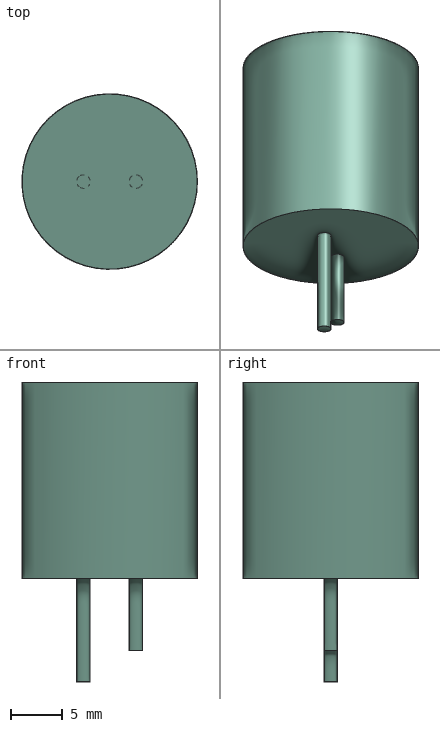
import cadquery as cq

total_height = 29.0
can_diameter = 17.0
long_pin_length = 10.0
short_pin_length = 7.0
pin_diameter = 1.3
pin_spacing = 5.08

can_height = total_height - long_pin_length

pins_layout = [
    (-pin_spacing / 2, long_pin_length),
    (pin_spacing / 2, short_pin_length),
]


def make_can():
    """Plain cylindrical can standing on Z = 0."""
    return cq.Workplane("XY").circle(can_diameter / 2).extrude(can_height)


def make_pin(x, length):
    """Straight round pin hanging from the underside of the can."""
    return cq.Workplane("XY").center(x, 0).circle(pin_diameter / 2).extrude(-length)


can = make_can()
pins = [make_pin(x, length) for x, length in pins_layout]

result = cq.Compound.makeCompound([can.val(), *[pin.val() for pin in pins]])